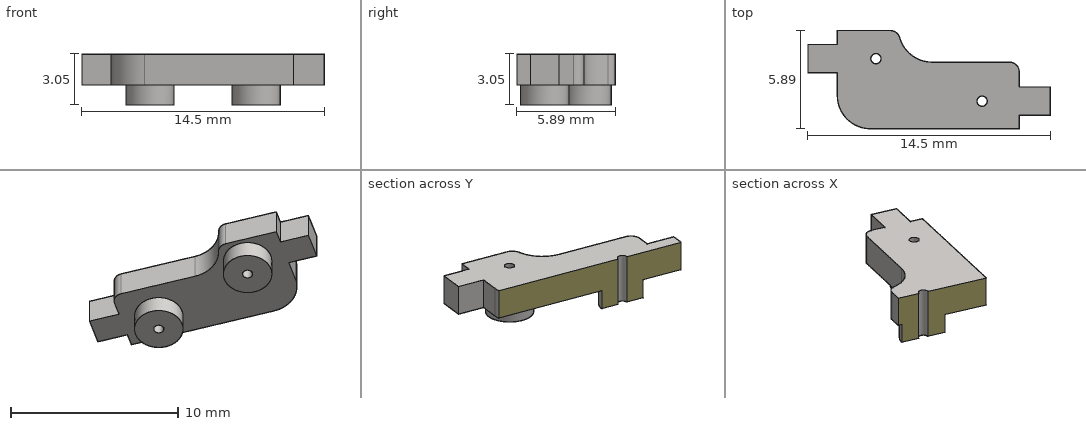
import cadquery as cq
import math

total_length = 14.5
body_width = 5.89
total_height = 3.05

body_length = 10.9
body_thickness = 1.85
step_y = 4.0
large_radius = 2.0
small_radius = 0.6
sweep_center_x = 5.67

tab_width = 1.7
left_tab_length = 1.75
right_tab_length = total_length - body_length - left_tab_length

pin_diameter = 2.9
bore_diameter = 0.6
pin_height = total_height - body_thickness
pin_spacing_x = 6.35
pin_spacing_y = 2.54
left_pin = (2.32, 4.2)
right_pin = (left_pin[0] + pin_spacing_x, left_pin[1] - pin_spacing_y)
pins = [left_pin, right_pin]


def point_on_circle(center, radius, degrees):
    """Point at the given angle on a circle."""
    angle = math.radians(degrees)
    return (center[0] + radius * math.cos(angle), center[1] + radius * math.sin(angle))


def make_body():
    """Plate with a concave sweep stepping down from the wide end to the narrow end."""
    sweep_center = (sweep_center_x, step_y + large_radius)

    shoulder_y = body_width - small_radius
    rise = sweep_center[1] - shoulder_y
    run = math.sqrt((large_radius + small_radius) ** 2 - rise ** 2)
    shoulder_center = (sweep_center_x - run, shoulder_y)
    tangent_angle = math.degrees(math.atan2(rise, run))

    shoulder_mid = point_on_circle(shoulder_center, small_radius, (90 + tangent_angle) / 2)
    shoulder_end = point_on_circle(shoulder_center, small_radius, tangent_angle)
    sweep_mid = point_on_circle(sweep_center, large_radius, (180 + tangent_angle + 270) / 2)

    narrow_corner_center = (body_length - small_radius, step_y - small_radius)
    narrow_corner_mid = point_on_circle(narrow_corner_center, small_radius, 45)
    front_corner_mid = point_on_circle((large_radius, large_radius), large_radius, 225)

    return (
        cq.Workplane("XY")
        .moveTo(large_radius, 0)
        .lineTo(body_length, 0)
        .lineTo(body_length, step_y - small_radius)
        .threePointArc(narrow_corner_mid, (body_length - small_radius, step_y))
        .lineTo(sweep_center_x, step_y)
        .threePointArc(sweep_mid, shoulder_end)
        .threePointArc(shoulder_mid, (shoulder_center[0], body_width))
        .lineTo(0, body_width)
        .lineTo(0, large_radius)
        .threePointArc(front_corner_mid, (large_radius, 0))
        .close()
        .extrude(body_thickness)
    )


def make_tab(x_start, x_end, center_y):
    """Full-thickness rectangular tab between two X positions."""
    return (
        cq.Workplane("XY")
        .center((x_start + x_end) / 2, center_y)
        .rect(x_end - x_start, tab_width)
        .extrude(body_thickness)
    )


def add_pins(part):
    """Round pins below the body."""
    pin_solids = cq.Workplane("XY").pushPoints(pins).circle(pin_diameter / 2).extrude(-pin_height)
    return part.union(pin_solids)


def cut_bores(part):
    """Small bores through the pins and the body."""
    bores = (
        cq.Workplane("XY")
        .workplane(offset=-pin_height)
        .pushPoints(pins)
        .circle(bore_diameter / 2)
        .extrude(total_height)
    )
    return part.cut(bores)


result = make_body()
result = result.union(make_tab(-left_tab_length, 0, left_pin[1]))
result = result.union(make_tab(body_length, body_length + right_tab_length, right_pin[1]))
result = add_pins(result)
result = cut_bores(result)